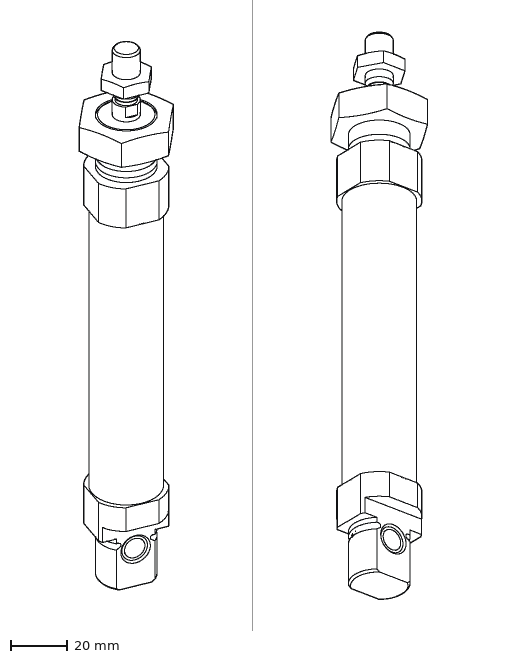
import cadquery as cq
import math

total_height = 221.5

tube_diameter = 26.5
cap_diameter = 30.3
cap_across_flats = 27.5
rear_cap_bottom = 21.7
rear_cap_top = 37.9
front_cap_bottom = 155.5
front_cap_top = 171.9

neck_diameter = 22.0
neck_end_diameter = 20.4
neck_bevel_height = 0.9
collar_height = 2.0
groove_diameter = 19.7
groove_width = 1.5
groove_cone_height = 1.0
groove_corner_radius = 0.7

tongue_thickness = 16.0
tongue_top = 28.0
pivot_diameter = 8.0
pivot_floor_diameter = 10.0
pivot_rim_diameter = 11.5
pivot_height = 15.5

rod_diameter = 10.0
rod_end_diameter = 8.6
rod_bevel_height = 0.9
thread_cone_top = 203.1
thread_cone_bottom = 201.3
thread_cone_diameter = 8.6
rod_groove_diameter = 8.0
rod_groove_bottom = 199.8
rod_across_flats = 8.9
rod_flats_bottom = 195.4

nut_bevel_angle = 15.0
housing_nut_across_flats = 32.0
housing_nut_bottom = 182.3
housing_nut_top = 193.5
rod_nut_across_flats = 17.0
rod_nut_bottom = 206.2
rod_nut_top = 211.3


def turned(profile):
    """Solid of revolution about Z from (radius, height) corners, closed along the axis."""
    start = (0, profile[0][1])
    end = (0, profile[-1][1])
    return cq.Workplane("XZ").polyline([start, *profile, end]).close().revolve(360, (0, 0), (0, 1))


def cylinder(diameter, bottom, top):
    return cq.Workplane("XY").workplane(offset=bottom).circle(diameter / 2).extrude(top - bottom)


def square_bar(width, bottom, top):
    return cq.Workplane("XY").workplane(offset=bottom).rect(width, width).extrude(top - bottom)


def relief_groove(collar_end, outward):
    """Ring to cut from a neck: square wall at the collar, bevel towards the neck end, rounded floor."""
    floor_radius = groove_diameter / 2
    outer_radius = neck_diameter / 2
    floor_end = collar_end + outward * groove_width
    ring = (
        cq.Workplane("XZ")
        .polyline([
            (outer_radius, collar_end),
            (floor_radius, collar_end),
            (floor_radius, floor_end),
            (outer_radius, floor_end + outward * groove_cone_height),
        ])
        .close()
        .revolve(360, (0, 0), (0, 1))
    )
    return ring.edges(cq.selectors.RadiusNthSelector(0)).fillet(groove_corner_radius)


def end_piece(inner_face, cap_end, neck_end):
    """Round cap with four flats and its grooved neck, from the tube outwards to the neck end."""
    outward = math.copysign(1, neck_end - cap_end)
    bottom = min(inner_face, cap_end)
    top = max(inner_face, cap_end)
    cap = cylinder(cap_diameter, bottom, top).intersect(square_bar(cap_across_flats, bottom, top))
    neck = turned([
        (neck_diameter / 2, cap_end),
        (neck_diameter / 2, neck_end - outward * neck_bevel_height),
        (neck_end_diameter / 2, neck_end),
    ])
    neck = neck.cut(relief_groove(cap_end + outward * collar_height, outward))
    return cap.union(neck)


def tongue_cuts():
    """Two blocks that leave only the flat tongue below the rear ledge."""
    offset = (tongue_thickness + cap_diameter) / 2
    return (
        cq.Workplane("XY")
        .pushPoints([(-offset, 0), (offset, 0)])
        .rect(cap_diameter, 2 * cap_diameter)
        .extrude(tongue_top)
    )


def pivot_hole():
    """Cross hole along X with a shallow 45 degree recess at both faces of the tongue."""
    half_length = tongue_thickness / 2
    bore_radius = pivot_diameter / 2
    floor_radius = pivot_floor_diameter / 2
    rim_radius = pivot_rim_diameter / 2
    bore_end = half_length - (rim_radius - floor_radius)
    return (
        cq.Workplane("XY")
        .polyline([
            (-half_length, 0),
            (-half_length, rim_radius),
            (-bore_end, floor_radius),
            (-bore_end, bore_radius),
            (bore_end, bore_radius),
            (bore_end, floor_radius),
            (half_length, rim_radius),
            (half_length, 0),
        ])
        .close()
        .revolve(360, (0, 0), (1, 0))
        .translate((0, 0, pivot_height))
    )


def make_housing():
    tube = cylinder(tube_diameter, rear_cap_top, front_cap_bottom)
    front = end_piece(front_cap_bottom, front_cap_top, housing_nut_top)
    rear = end_piece(rear_cap_top, rear_cap_bottom, 0)
    rear = rear.cut(tongue_cuts()).cut(pivot_hole())
    rod_bore = cylinder(rod_diameter, front_cap_bottom, housing_nut_top)
    return tube.union(front).union(rear).cut(rod_bore)


def make_rod():
    """Rod seated in the front cap, with wrench flats, a relief groove and a threaded end."""
    rod = turned([
        (rod_diameter / 2, front_cap_bottom),
        (rod_diameter / 2, rod_groove_bottom),
        (rod_groove_diameter / 2, rod_groove_bottom),
        (rod_groove_diameter / 2, thread_cone_bottom),
        (thread_cone_diameter / 2, thread_cone_bottom),
        (rod_diameter / 2, thread_cone_top),
        (rod_diameter / 2, total_height - rod_bevel_height),
        (rod_end_diameter / 2, total_height),
    ])
    offset = (rod_across_flats + rod_diameter) / 2
    flat_cuts = (
        cq.Workplane("XY", origin=(0, 0, rod_flats_bottom))
        .pushPoints([(-offset, 0), (offset, 0)])
        .rect(rod_diameter, 2 * rod_diameter)
        .extrude(rod_groove_bottom - rod_flats_bottom)
    )
    return rod.cut(flat_cuts)


def make_nut(across_flats, bore, bottom, top, bevel_bottom):
    """Hexagon with corners on the Y axis, its corners bevelled at the top and, if asked, the bottom."""
    flat_radius = across_flats / 2
    corner_radius = across_flats / math.sqrt(3)
    bevel_height = (corner_radius - flat_radius) * math.tan(math.radians(nut_bevel_angle))
    hexagon = (
        cq.Workplane("XY", origin=(0, 0, bottom))
        .transformed(rotate=(0, 0, 90))
        .polygon(6, 2 * corner_radius)
        .extrude(top - bottom)
    )
    if bevel_bottom:
        lower_corners = [(flat_radius, bottom), (corner_radius, bottom + bevel_height)]
    else:
        lower_corners = [(corner_radius, bottom)]
    upper_corners = [(corner_radius, top - bevel_height), (flat_radius, top)]
    bevelled_round = turned(lower_corners + upper_corners)
    return hexagon.intersect(bevelled_round).cut(cylinder(bore, bottom, top))


housing = make_housing()
rod = make_rod()
housing_nut = make_nut(
    housing_nut_across_flats, neck_diameter, housing_nut_bottom, housing_nut_top, bevel_bottom=True
)
rod_nut = make_nut(rod_nut_across_flats, rod_diameter, rod_nut_bottom, rod_nut_top, bevel_bottom=False)

result = cq.Compound.makeCompound([housing.val(), rod.val(), housing_nut.val(), rod_nut.val()])